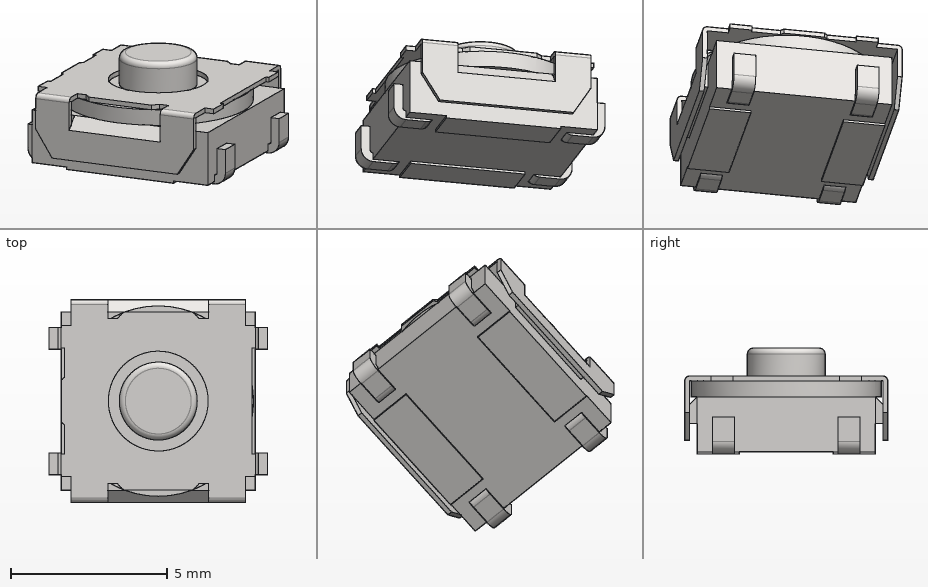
import cadquery as cq


TOTAL_LENGTH = 7.0
TOTAL_WIDTH = 6.5
TOTAL_HEIGHT = 3.4

BASE_LENGTH = 6.22
BASE_WIDTH = 5.71
BASE_TOP = 1.835
FOOT_HEIGHT = 0.08
FOOT_LENGTH = 3.795
FOOT_WIDTH = 1.35

DISC_DIAMETER = 6.1
BUTTON_DIAMETER = 2.5
BUTTON_FILLET = 0.195

COVER_TOP = 2.505
SHEET_THICKNESS = 0.155
COVER_HOLE_DIAMETER = 3.2
COVER_LENGTH = BASE_LENGTH
WIDE_SPAN = 4.83
ARM_LENGTH = 5.6
ARM_TIP_LENGTH = 4.44
ARM_BOTTOM = 0.44
ARM_TAPER_START = 1.34
WINDOW_LENGTH = 3.23
WINDOW_BOTTOM = 0.98
WINDOW_TOP_Y = 2.645
LIP_LENGTH = 2.21
LIP_CHAMFER = 0.2
NOTCH_DEPTH = 0.105
NOTCH_SPAN = 3.4
TAB_ROOT_SPAN = 1.525

TERMINAL_WIDTH = 0.71
TERMINAL_OFFSET = 2.01
TERMINAL_THICKNESS = 0.295
TERMINAL_TOP = 1.19
TERMINAL_BEND_RADIUS = 0.4
TERMINAL_INNER_END = 2.135

COVER_UNDERSIDE = COVER_TOP - SHEET_THICKNESS


def block(x_range, y_range, z_range):
    """Axis-aligned block between the given limits."""
    (x0, x1), (y0, y1), (z0, z1) = x_range, y_range, z_range
    return cq.Workplane("XY").box(x1 - x0, y1 - y0, z1 - z0, centered=False).translate((x0, y0, z0))


def make_base():
    """Base block with two low feet and a sloped catch on each arm side."""
    half_width = BASE_WIDTH / 2
    base = (
        cq.Workplane("XY")
        .workplane(offset=FOOT_HEIGHT)
        .rect(BASE_LENGTH, BASE_WIDTH)
        .extrude(BASE_TOP - FOOT_HEIGHT)
    )
    catch_reach = TOTAL_WIDTH / 2 - half_width
    catch = (
        cq.Workplane("YZ")
        .moveTo(half_width, BASE_TOP)
        .lineTo(half_width + catch_reach, BASE_TOP - catch_reach)
        .lineTo(half_width + catch_reach, WINDOW_BOTTOM)
        .lineTo(half_width, WINDOW_BOTTOM)
        .close()
        .extrude(WINDOW_LENGTH / 2, both=True)
    )
    foot = block(
        (-FOOT_LENGTH / 2, FOOT_LENGTH / 2),
        (half_width - FOOT_WIDTH, half_width),
        (0, FOOT_HEIGHT),
    )
    for feature in (catch, foot):
        base = base.union(feature).union(feature.mirror("XZ"))
    return base


def make_disc_and_button():
    """Disc on top of the base carrying the round button."""
    disc = (
        cq.Workplane("XY")
        .workplane(offset=BASE_TOP)
        .circle(DISC_DIAMETER / 2)
        .extrude(COVER_UNDERSIDE - BASE_TOP)
    )
    button = (
        cq.Workplane("XY")
        .workplane(offset=BASE_TOP)
        .circle(BUTTON_DIAMETER / 2)
        .extrude(TOTAL_HEIGHT - BASE_TOP)
        .faces(">Z")
        .edges()
        .fillet(BUTTON_FILLET)
    )
    return disc.union(button)


def make_bent_sheet():
    """U-shaped strip with tapered arms, with side wings at the middle of its top."""
    strip = (
        cq.Workplane("XY")
        .box(ARM_LENGTH, TOTAL_WIDTH, COVER_TOP - ARM_BOTTOM, centered=(True, True, False))
        .translate((0, 0, ARM_BOTTOM))
        .edges("|X and >Z")
        .fillet(SHEET_THICKNESS)
    )
    inside = cq.Workplane("XY").box(
        ARM_LENGTH, TOTAL_WIDTH - 2 * SHEET_THICKNESS, COVER_UNDERSIDE, centered=(True, True, False)
    )
    arm_outline = (
        cq.Workplane("XZ")
        .moveTo(-ARM_LENGTH / 2, COVER_TOP)
        .lineTo(ARM_LENGTH / 2, COVER_TOP)
        .lineTo(ARM_LENGTH / 2, ARM_TAPER_START)
        .lineTo(ARM_TIP_LENGTH / 2, ARM_BOTTOM)
        .lineTo(-ARM_TIP_LENGTH / 2, ARM_BOTTOM)
        .lineTo(-ARM_LENGTH / 2, ARM_TAPER_START)
        .close()
        .extrude(TOTAL_WIDTH / 2, both=True)
    )
    wings = (
        cq.Workplane("XY")
        .workplane(offset=COVER_UNDERSIDE)
        .rect(COVER_LENGTH, WIDE_SPAN)
        .extrude(SHEET_THICKNESS)
    )
    return strip.cut(inside).intersect(arm_outline).union(wings)


def make_arm_window():
    """Cutter for the window of the +Y arm, leaving a chamfered lip on the top sheet."""
    lip_edge = WINDOW_TOP_Y + LIP_CHAMFER
    opening = block(
        (-WINDOW_LENGTH / 2, WINDOW_LENGTH / 2),
        (WINDOW_TOP_Y, TOTAL_WIDTH / 2),
        (WINDOW_BOTTOM, COVER_TOP),
    )
    lip = (
        cq.Workplane("XY")
        .workplane(offset=COVER_UNDERSIDE)
        .moveTo(-LIP_LENGTH / 2 - LIP_CHAMFER, WINDOW_TOP_Y)
        .lineTo(LIP_LENGTH / 2 + LIP_CHAMFER, WINDOW_TOP_Y)
        .lineTo(LIP_LENGTH / 2, lip_edge)
        .lineTo(-LIP_LENGTH / 2, lip_edge)
        .close()
        .extrude(SHEET_THICKNESS)
    )
    return opening.cut(lip)


def make_edge_notches():
    """Cutter for one long notch on +X and two notches beside a tab on -X."""
    edge = COVER_LENGTH / 2
    floor = edge - NOTCH_DEPTH
    heights = (COVER_UNDERSIDE, COVER_TOP)
    span = (-NOTCH_SPAN / 2, NOTCH_SPAN / 2)
    tab_root = TAB_ROOT_SPAN / 2
    tab_tip = tab_root - NOTCH_DEPTH
    tab = (
        cq.Workplane("XY")
        .workplane(offset=COVER_UNDERSIDE)
        .moveTo(-floor, -tab_root)
        .lineTo(-edge, -tab_tip)
        .lineTo(-edge, tab_tip)
        .lineTo(-floor, tab_root)
        .close()
        .extrude(SHEET_THICKNESS)
    )
    return block((floor, edge), span, heights).union(block((-edge, -floor), span, heights).cut(tab))


def make_cover():
    """Bent cover with its button hole, arm windows and edge notches."""
    hole = cq.Workplane("XY").circle(COVER_HOLE_DIAMETER / 2).extrude(COVER_TOP)
    window = make_arm_window()
    cover = make_bent_sheet()
    for cutter in (hole, window, window.mirror("XZ"), make_edge_notches()):
        cover = cover.cut(cutter)
    return cover


def make_terminal():
    """L-shaped terminal at +X, +Y, bent up from the underside of the base."""
    outer = TOTAL_LENGTH / 2
    outline = (
        cq.Workplane("XZ")
        .moveTo(outer, TERMINAL_TOP)
        .lineTo(outer, TERMINAL_BEND_RADIUS)
        .radiusArc((outer - TERMINAL_BEND_RADIUS, 0), TERMINAL_BEND_RADIUS)
        .lineTo(TERMINAL_INNER_END + TERMINAL_THICKNESS, 0)
        .radiusArc((TERMINAL_INNER_END, TERMINAL_THICKNESS), TERMINAL_THICKNESS)
        .lineTo(outer - TERMINAL_BEND_RADIUS, TERMINAL_THICKNESS)
        .radiusArc(
            (outer - TERMINAL_THICKNESS, TERMINAL_BEND_RADIUS),
            -(TERMINAL_BEND_RADIUS - TERMINAL_THICKNESS),
        )
        .lineTo(outer - TERMINAL_THICKNESS, TERMINAL_TOP)
        .close()
    )
    return outline.extrude(TERMINAL_WIDTH / 2, both=True).translate((0, TERMINAL_OFFSET, 0))


result = make_base().union(make_disc_and_button()).union(make_cover())

terminal = make_terminal()
terminal_pair = terminal.union(terminal.mirror("XZ"))
result = result.union(terminal_pair).union(terminal_pair.mirror("YZ"))